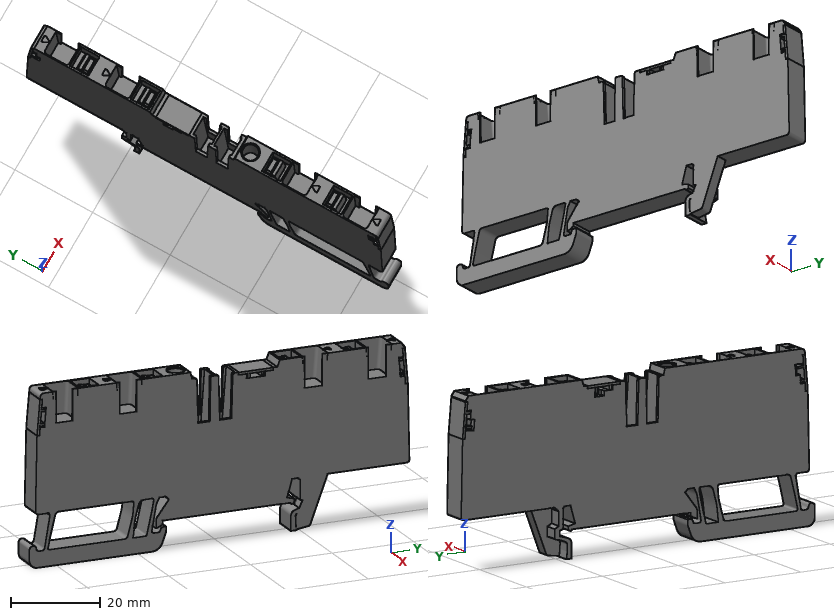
import cadquery as cq
import math

WIDTH = 6.1
HALF_WIDTH = WIDTH / 2
TOP_Z = 41.1
SHELF_Z = 39.6
BODY_BOTTOM_Z = 12.6
BODY_CENTER_Y = 0.7
BODY_HALF_LENGTH = 45.9

UPRIGHT_TOP_Z = 13.4
SLOPE_START_Z = 31.3
SLOPE_TOP_Z = 40.0
LOWER_INSET = 0.4
SLOPE_INSET = 0.7
CORNER_INSET = 2.0
END_CORNER_RADIUS = 0.9
BODY_CORNER_RADIUS = 0.7
END_LEAN = math.degrees(math.atan2(SLOPE_INSET, SLOPE_TOP_Z - SLOPE_START_Z))

STATION_OFFSETS = (19.7, 35.4)
FUNNEL_LENGTH = 6.25
FUNNEL_DEPTH = 7.5
FUNNEL_TOP_WIDTH = 5.6
FUNNEL_FLOOR_WIDTH = 5.1
FUNNEL_INNER_DRAFT = 0.5
FUNNEL_OUTER_DRAFT = 0.7
FUNNEL_CORNER_RADIUS = 0.7
FUNNEL_LIP = 1.4

CLAMP_POCKET_WIDTH = 5.0
CLAMP_POCKET_LENGTH = 4.8
CLAMP_POCKET_GAP = 0.4
CLAMP_POCKET_DEPTH = 7.5
CLAMP_BASE_DROP = 3.7
CLAMP_TOP_DROP = 0.9
CLAMP_HEAD_WIDTH = 3.9
CLAMP_BAR_OFFSET = 2.1
CLAMP_BAR_THICKNESS = 0.8
CLAMP_RAMP_END = 3.6
CLAMP_NOSE_OFFSET = 0.65
CLAMP_NOSE_THICKNESS = 1.1
CLAMP_NOSE_BEVEL = 0.5

ARROW_WIDTH = 1.5
ARROW_LENGTH = 1.8
ARROW_SHANK = 0.5
ARROW_DEPTH = 0.2

SLOT_FLOOR_Z = 28.9
SLOT_MOUTH_RADIUS = 0.6
FIN_TOP_RADIUS = 0.4
SLOT_CORE_FLOOR_Z = 24.3
SLOT_CORE_WIDTH = 4.6
SLOT_CORE_ENDS = (
    (4.0, 2.8, 0.3, -0.7),
    (-1.3, -2.4, -4.9, -5.9),
)

TEST_HOLE_Y = -9.4
TEST_HOLE_RADIUS = 1.9
TEST_HOLE_RIM_RADIUS = 2.1
TEST_HOLE_DEPTH = 7.5

MARKER_LENGTH = 8.5
MARKER_THICKNESS = 0.61
MARKER_SEAT_T = (2.0, 6.5)
MARKER_SEAT_FLOOR = 1.7
CATCH_T = (1.9, 4.4)
CATCH_FLOOR = 2.8
CATCH_DEPTH_X = 1.4
HOOK_LEG_T = (2.4, 2.9)
HOOK_TIP_D = 2.2
PLAIN_LEG_T = (5.7, 6.25)

KEEL_Z = 7.0
RAIL_FOOT_FLOOR_Z = 3.9
FOOT_RIB_THICKNESS = 3.0


def corner_arc(before, corner, after, radius):
    """Start, middle and end of the arc that rounds the corner between two straight lines."""
    vertex = cq.Vector(*corner)
    to_before = (cq.Vector(*before) - vertex).normalized()
    to_after = (cq.Vector(*after) - vertex).normalized()
    half_angle = to_before.getAngle(to_after) / 2
    tangent_length = radius / math.tan(half_angle)
    middle_distance = radius / math.sin(half_angle) - radius
    bisector = (to_before + to_after).normalized()
    ends = [vertex + direction * tangent_length for direction in (to_before, to_after)]
    middle = vertex + bisector * middle_distance
    return [(point.x, point.y) for point in (ends[0], middle, ends[1])]


def plate(points, x_start=-HALF_WIDTH, thickness=WIDTH):
    """Y-Z outline extruded along +X; a third value at any point but the first is its corner radius."""
    outline = cq.Workplane("YZ").moveTo(*points[0][:2])
    for index, point in enumerate(points[1:], start=1):
        if len(point) == 2:
            outline = outline.lineTo(*point)
            continue
        before = points[index - 1][:2]
        after = points[(index + 1) % len(points)][:2]
        start, middle, end = corner_arc(before, point[:2], after, point[2])
        outline = outline.lineTo(*start).threePointArc(middle, end)
    return outline.close().extrude(thickness).translate((x_start, 0, 0))


def box(x, y, z):
    """Box between the two limits given for each axis."""
    size = [max(limits) - min(limits) for limits in (x, y, z)]
    return cq.Workplane("XY").box(*size, centered=False).translate((min(x), min(y), min(z)))


def along_case(distance, side):
    """Y of a point at a distance from the case centre towards one side (+1 or -1)."""
    return BODY_CENTER_Y + side * distance


def strip_box(t_limits, d_limits, x_limits=(-HALF_WIDTH, HALF_WIDTH)):
    """Box in strip coordinates: t along -Y and d along -Z."""
    return box(x_limits, [-t for t in t_limits], [-d for d in d_limits])


CATCH_X = (-HALF_WIDTH, -HALF_WIDTH + CATCH_DEPTH_X)


def marker_shape():
    """Label strip with a hooked leg and a plain leg."""
    strip = strip_box((0, MARKER_LENGTH), (0, MARKER_THICKNESS))
    hook_leg = strip_box(HOOK_LEG_T, (MARKER_THICKNESS, MARKER_SEAT_FLOOR))
    hook_tip = strip_box(HOOK_LEG_T, (MARKER_SEAT_FLOOR, HOOK_TIP_D), CATCH_X)
    plain_leg = strip_box(PLAIN_LEG_T, (MARKER_THICKNESS, MARKER_SEAT_FLOOR))
    return strip.union(hook_leg).union(hook_tip).union(plain_leg)


def marker_recess():
    """Room for a strip: its bed, the seat through the case and the blind catch for the hook."""
    strip = strip_box((0, MARKER_LENGTH), (0, MARKER_THICKNESS))
    seat = strip_box(MARKER_SEAT_T, (MARKER_THICKNESS, MARKER_SEAT_FLOOR))
    catch = strip_box(CATCH_T, (MARKER_SEAT_FLOOR, CATCH_FLOOR), CATCH_X)
    return strip.union(seat).union(catch)


def end_wall_y(z, side):
    """Y of the leaning part of an end wall at a height."""
    inset = LOWER_INSET + SLOPE_INSET * (z - SLOPE_START_Z) / (SLOPE_TOP_Z - SLOPE_START_Z)
    return along_case(BODY_HALF_LENGTH - inset, side)


TOP_MARKER_Y = 13.25
LOW_MARKER_Z = SLOPE_START_Z
HIGH_MARKER_Z = 39.7
MARKER_PLACES = (
    (0, TOP_MARKER_Y, SHELF_Z),
    (END_LEAN - 90, end_wall_y(LOW_MARKER_Z, 1), LOW_MARKER_Z),
    (90 - END_LEAN, end_wall_y(HIGH_MARKER_Z, -1), HIGH_MARKER_Z),
)


def place_marker(shape, place):
    """Shape in strip coordinates moved to one of the marker places."""
    turn, y, z = place
    return shape.rotate((0, 0, 0), (1, 0, 0), turn).translate((0, y, z))


def clamp_pocket(inner, side, top_z=TOP_Z):
    """Block filling a clamp pocket up to a height; its inner edge is given from the case centre."""
    half = CLAMP_POCKET_WIDTH / 2
    y_limits = (along_case(inner, side), along_case(inner + CLAMP_POCKET_LENGTH, side))
    return box((-half, half), y_limits, (TOP_Z - CLAMP_POCKET_DEPTH, top_z))


def clamp(inner, side):
    """Base filling the pocket, with a ramped cross bar and a bevelled nose standing on it."""
    base_z = TOP_Z - CLAMP_BASE_DROP
    head_z = TOP_Z - CLAMP_TOP_DROP
    half = CLAMP_HEAD_WIDTH / 2
    base = clamp_pocket(inner, side, base_z)

    bar_inner = along_case(inner + CLAMP_BAR_OFFSET, side)
    bar_outer = along_case(inner + CLAMP_BAR_OFFSET + CLAMP_BAR_THICKNESS, side)
    ramp_end = along_case(inner + CLAMP_RAMP_END, side)
    bar = plate([(bar_inner, base_z), (bar_inner, head_z), (bar_outer, head_z), (ramp_end, base_z)],
                -half, CLAMP_HEAD_WIDTH)

    nose_start = inner + CLAMP_NOSE_OFFSET
    nose_y = (along_case(nose_start, side), along_case(nose_start + CLAMP_NOSE_THICKNESS, side))
    nose = box((-half, half), nose_y, (base_z, head_z))
    nose = nose.edges("|Y and >Z").chamfer(CLAMP_NOSE_BEVEL)
    return base.union(bar).union(nose)


def funnel(inner, side):
    """Tapered wire entry with a window through the +X wall."""
    floor_z = TOP_Z - FUNNEL_DEPTH
    floor_length = FUNNEL_LENGTH - FUNNEL_INNER_DRAFT - FUNNEL_OUTER_DRAFT
    floor_y = along_case(inner + FUNNEL_INNER_DRAFT + floor_length / 2, side)
    top_y = along_case(inner + FUNNEL_LENGTH / 2, side)

    floor = cq.Sketch().rect(FUNNEL_FLOOR_WIDTH, floor_length).vertices("<X").fillet(FUNNEL_CORNER_RADIUS)
    mouth = cq.Sketch().rect(FUNNEL_TOP_WIDTH, FUNNEL_LENGTH).vertices("<X").fillet(FUNNEL_CORNER_RADIUS)
    entry = cq.Workplane("XY").placeSketch(
        floor.moved(cq.Location(cq.Vector(0, floor_y, floor_z))),
        mouth.moved(cq.Location(cq.Vector(0, top_y, TOP_Z)))).loft()

    window_y = (floor_y - floor_length / 2, top_y + FUNNEL_LENGTH / 2 - FUNNEL_LIP)
    window = box((0, HALF_WIDTH), window_y, (floor_z, TOP_Z))
    return entry.union(window)


def arrow(outer, side):
    """Shallow arrow whose tip touches the outer edge of a funnel."""
    half = ARROW_WIDTH / 2
    tip_y = along_case(outer, side)
    neck_y = along_case(outer + ARROW_LENGTH - ARROW_SHANK, side)
    tail_y = along_case(outer + ARROW_LENGTH, side)
    points = [(0, tip_y), (half, neck_y), (half, tail_y), (-half, tail_y), (-half, neck_y)]
    floor = cq.Workplane("XY").workplane(offset=TOP_Z - ARROW_DEPTH)
    return floor.polyline(points).close().extrude(ARROW_DEPTH)


def slot_core(mouth_start, floor_start, floor_end, mouth_end):
    """Deeper flared pocket in the middle of a jumper slot."""
    points = [(mouth_start, SHELF_Z), (floor_start, SLOT_CORE_FLOOR_Z),
              (floor_end, SLOT_CORE_FLOOR_Z), (mouth_end, SHELF_Z)]
    return plate(points, -SLOT_CORE_WIDTH / 2, SLOT_CORE_WIDTH)


def test_hole():
    """Round hole with a bevelled rim."""
    rim = TEST_HOLE_RIM_RADIUS - TEST_HOLE_RADIUS
    floor_z = TOP_Z - TEST_HOLE_DEPTH
    section = [(0, floor_z), (TEST_HOLE_RADIUS, floor_z), (TEST_HOLE_RADIUS, TOP_Z - rim),
               (TEST_HOLE_RIM_RADIUS, TOP_Z), (0, TOP_Z)]
    hole = cq.Workplane("XZ").polyline(section).close().revolve(360, (0, 0, 0), (0, 1, 0))
    return hole.translate((0, TEST_HOLE_Y, 0))


def case():
    """Main block with leaning ends and a lowered middle cut by two jumper slots."""
    left = along_case(BODY_HALF_LENGTH, 1)
    right = along_case(BODY_HALF_LENGTH, -1)
    points = [
        (0, BODY_BOTTOM_Z),
        (left, BODY_BOTTOM_Z, BODY_CORNER_RADIUS),
        (left, UPRIGHT_TOP_Z), (left - LOWER_INSET, SLOPE_START_Z),
        (end_wall_y(SLOPE_TOP_Z, 1), SLOPE_TOP_Z), (left - CORNER_INSET, TOP_Z),
        (14.8, TOP_Z), (14.2, SHELF_Z),
        (3.3, SHELF_Z, SLOT_MOUTH_RADIUS), (3.0, SLOT_FLOOR_Z),
        (0.1, SLOT_FLOOR_Z), (-0.2, SHELF_Z, FIN_TOP_RADIUS),
        (-2.1, SHELF_Z, FIN_TOP_RADIUS), (-2.3, SLOT_FLOOR_Z),
        (-5.2, SLOT_FLOOR_Z), (-5.5, SHELF_Z, SLOT_MOUTH_RADIUS),
        (-6.7, SHELF_Z), (-7.1, TOP_Z),
        (end_wall_y(TOP_Z, -1), TOP_Z, END_CORNER_RADIUS),
        (right + LOWER_INSET, SLOPE_START_Z),
        (right, UPRIGHT_TOP_Z), (right, BODY_BOTTOM_Z, BODY_CORNER_RADIUS),
    ]
    return plate(points)


def keel():
    """Middle block resting on the rail, with a lip at each end."""
    points = [
        (17.8, BODY_BOTTOM_Z), (16.6, 8.3), (18.4, 7.8), (18.4, 6.9), (17.7, 6.6), (17.35, KEEL_Z),
        (-13.9, KEEL_Z), (-13.9, 6.25), (-14.5, 5.8), (-15.6, 5.4), (-15.6, 7.65, 1.4),
        (-12.4, 11.85), (-13.2, BODY_BOTTOM_Z),
    ]
    return plate(points)


def spring_foot():
    """Bent strip that snaps under one rail edge, backed by a rib along the +X side."""
    strip_points = [
        (22.0, BODY_BOTTOM_Z), (20.9, 11.6), (20.9, 8.2), (22.0, 7.65), (22.0, 5.3), (18.7, 4.2, 0.9),
        (18.7, 2.05), (18.9, 0.3), (17.5, 0.3), (17.5, 4.85, 1.3), (20.6, 5.8),
        (20.6, 7.1), (19.8, 7.4), (19.8, 12.1), (19.3, BODY_BOTTOM_Z),
    ]
    rib_points = [
        (26.6, BODY_BOTTOM_Z), (22.2, 0.9, 0.7), (18.8, 0.5), (18.7, 3.6), (20.9, 8.2),
        (20.9, BODY_BOTTOM_Z),
    ]
    rib = plate(rib_points, HALF_WIDTH - FOOT_RIB_THICKNESS, FOOT_RIB_THICKNESS)
    return plate(strip_points).union(rib)


def rail_foot():
    """Long foot on three slanted legs, with a rail hook and an upturned end."""
    outline = [
        (-14.7, BODY_BOTTOM_Z), (-15.5, 11.2, 2.8), (-16.7, 4.4, 0.6), (-14.7, 4.4, 0.6),
        (-14.2, 5.5, 0.2), (-13.1, 5.5), (-13.1, 4.3, 1.9), (-14.6, 0, 2.8),
        (-46.6, 0, 2.0), (-46.6, 5.3, 0.8), (-45.15, 5.3, 0.65), (-44.8, RAIL_FOOT_FLOOR_Z, 0.7),
        (-43.0, RAIL_FOOT_FLOOR_Z, 0.65), (-41.6, 12.0), (-41.9, BODY_BOTTOM_Z),
    ]
    narrow_opening = [
        (-17.7, BODY_BOTTOM_Z), (-19.5, BODY_BOTTOM_Z, 1.4), (-20.7, 8.2, 14.0),
        (-21.2, RAIL_FOOT_FLOOR_Z), (-17.9, RAIL_FOOT_FLOOR_Z, 0.5), (-16.6, 9.6, 9.3),
        (-16.0, BODY_BOTTOM_Z, 0.5),
    ]
    wide_opening = [
        (-28.0, BODY_BOTTOM_Z), (-40.1, BODY_BOTTOM_Z, 0.9), (-41.4, 7.4, 14.0),
        (-42.2, RAIL_FOOT_FLOOR_Z, 0.5), (-22.7, RAIL_FOOT_FLOOR_Z, 0.9), (-21.3, 9.2, 9.3),
        (-21.0, BODY_BOTTOM_Z, 0.5),
    ]
    return plate(outline).cut(plate(narrow_opening)).cut(plate(wide_opening))


def stations():
    """Inner funnel distance and side of every wiring station."""
    return [(offset, side) for side in (1, -1) for offset in STATION_OFFSETS]


def pocket_distance(funnel_inner):
    """Inner edge of the clamp pocket that belongs to a funnel."""
    return funnel_inner - CLAMP_POCKET_GAP - CLAMP_POCKET_LENGTH


def make_housing():
    """Case, keel and feet in one piece, with every recess cut."""
    body = case().union(keel()).union(spring_foot()).union(rail_foot())
    body = body.cut(test_hole())
    for core_ends in SLOT_CORE_ENDS:
        body = body.cut(slot_core(*core_ends))
    for offset, side in stations():
        body = body.cut(funnel(offset, side))
        body = body.cut(clamp_pocket(pocket_distance(offset), side))
        body = body.cut(arrow(offset + FUNNEL_LENGTH, side))
    for place in MARKER_PLACES:
        body = body.cut(place_marker(marker_recess(), place))
    return body


housing = make_housing()
clamps = [clamp(pocket_distance(offset), side) for offset, side in stations()]
markers = [place_marker(marker_shape(), place) for place in MARKER_PLACES]

result = cq.Compound.makeCompound(
    [housing.val()] + [item.val() for item in clamps] + [item.val() for item in markers])